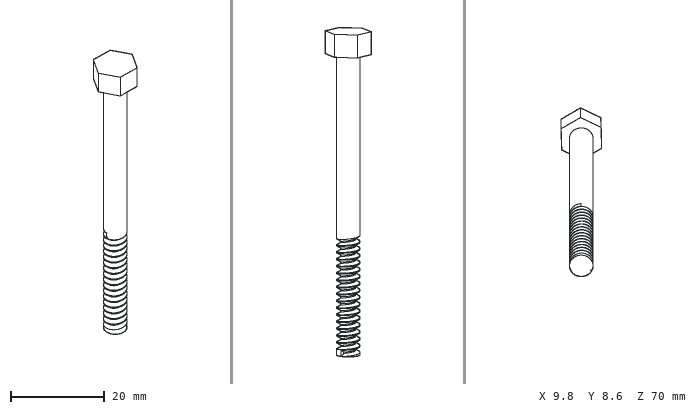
import cadquery as cq
import math

total_height = 70.0
head_height = 5.0
head_across_corners = 9.8
head_across_flats = 8.6
shank_radius = 2.5

thread_length = 25.0
thread_turns = 16 + 2 / 3
thread_pitch = thread_length / thread_turns
thread_start_z = 0.7
groove_angle = 60.0
crest_width = thread_pitch / 8
groove_depth = 0.9
flank_slope = math.tan(math.radians(groove_angle / 2))
root_width = thread_pitch - crest_width - 2 * groove_depth * flank_slope
cut_clearance = 0.1


def make_head():
    """Hexagonal head with two corners on the X axis."""
    corner_x = head_across_corners / 2
    flat_y = head_across_flats / 2
    flat_end_x = corner_x / 2
    corners = [
        (corner_x, 0),
        (flat_end_x, flat_y),
        (-flat_end_x, flat_y),
        (-corner_x, 0),
        (-flat_end_x, -flat_y),
        (flat_end_x, -flat_y),
    ]
    base = cq.Workplane("XY").workplane(offset=total_height - head_height)
    return base.polyline(corners).close().extrude(head_height)


def make_shank():
    """Plain round shank, from the tip to the underside of the head."""
    return cq.Workplane("XY").circle(shank_radius).extrude(total_height - head_height)


def make_thread_groove():
    """Trapezoidal section swept up a helix; its mouth lies just outside the shank."""
    root_radius = shank_radius - groove_depth
    mouth_radius = shank_radius + cut_clearance
    half_root = root_width / 2
    half_mouth = half_root + (mouth_radius - root_radius) * flank_slope
    section = [
        (root_radius, thread_start_z - half_root),
        (root_radius, thread_start_z + half_root),
        (mouth_radius, thread_start_z + half_mouth),
        (mouth_radius, thread_start_z - half_mouth),
    ]
    helix = cq.Wire.makeHelix(
        thread_pitch, thread_length, shank_radius, center=cq.Vector(0, 0, thread_start_z)
    )
    return cq.Workplane("XZ").polyline(section).close().sweep(cq.Workplane(helix), isFrenet=True)


result = make_shank().cut(make_thread_groove()).union(make_head())